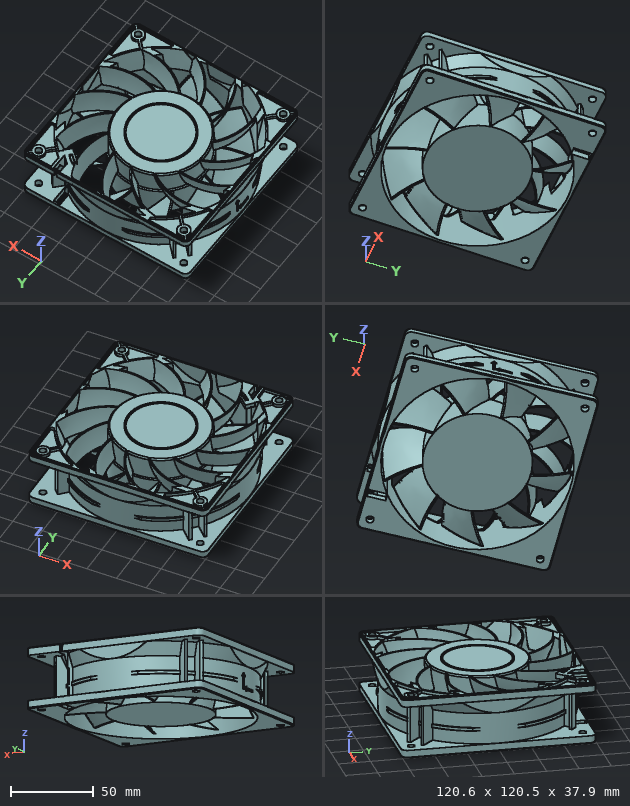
import cadquery as cq
import math

frame_half_x = 60.3
frame_half_y = 60.25
frame_height = 37.9
diagonal_reach = 2 * frame_half_x
corner_radius = 4.0
edge_chamfer = 0.6
flange_thickness = 5.0
upper_flange_z = frame_height - flange_thickness

duct_outer_radius = 60.1
flare_outer_radius = 66.7
bore_radius = 58.25
flare_inner_radius = 63.4
flare_start_z = 24.7
rim_width = 1.5
rim_inner_half = frame_half_x - rim_width

band_radius = 61.1
band_half_width = 58.9
band_z = 13.5
band_height = 2.0

hole_offset = 53.1
hole_radius = 2.2
hole_boss_radius = 4.3
pocket_depth = 2.0
pocket_ring_radius = 64.5
pocket_start = 31.2
cable_pocket_start = 40.1
pocket_corner_radius = 2.0
pocket_rib_width = 1.6

post_root = 59.0
channel_post_reach = 70.4
channel_post_half_width = 5.7
channel_from = -3.6
channel_to = 4.1
hook_reach = 67.2
hook_head_from = 65.4
hook_head_side = 0.2
hook_stem_side = 3.0
hook_outer_side = 4.7

vane_count = 13
vane_pitch = 360 / vane_count
first_vane_angle = 36.2
vane_width = 1.2
vane_top_edge = [(31, -31.2), (48.6, -14.6), (66, 4.0)]
vane_bottom_edge = [(31, -23.5), (45, -11.3), (64, 6.4)]
vane_middle_lean = 0.35
vane_bite = 0.4
shelf_width = 4.9
shelf_overlap = 0.6
vane_lean = 7.9

mount_radius = 32.0
mount_bottom_z = 22.8
mount_chamfer = 1.0
label_radius = 22.2
label_groove_width = 1.0
label_groove_depth = 0.4

platform_from_angle = 47.5
platform_to_angle = 58.0
cable_vane = 1
cable_shelf_width = 10.0
slot_left = 33.5
slot_right = 38.2
slot_inner_y = 47.2
rim_notch_x = 35.9
rim_notch_width = 1.8
clip_thickness = 3.0
clip_angle = -42.0
clip_corner = (33.6, 51.4)
clip_length = 10.2
clip_width = 6.3
clip_slit_length = 5.9
clip_slit_width = 1.9
clip_slit_offset = 2.9
clip_slit_depth = 1.5

arrow_depth = 0.3
arrow_length = 10.0
arrow_shaft = 1.2
arrow_head_length = 2.0
arrow_head_width = 3.2
flow_arrow_start = (5.4, 10.2)
rotation_arrow_start = (-6.0, 10.9)

impeller_bottom_z = 2.0
impeller_top_z = 22.4
impeller_hub_radius = 33.2
blade_count = 9
blade_tip_radius = 57.5
blade_width = 1.2
blade_bottom_z = 3.0
blade_top_z = 22.0
blade_top_edge = [(31.5, 338.5), (46, 332.3), (59, 326.6)]
blade_bottom_edge = [(31.5, 310.8), (46.5, 305.6), (59, 301.3)]


def disc(radius, z_low, z_high):
    return cq.Workplane("XY", origin=(0, 0, z_low)).circle(radius).extrude(z_high - z_low)


def cone(radius_low, radius_high, z_low, z_high):
    return cq.Workplane(
        cq.Solid.makeCone(radius_low, radius_high, z_high - z_low, pnt=cq.Vector(0, 0, z_low))
    )


def block(x, y, z):
    """Box spanning the three (low, high) ranges."""
    box = cq.Workplane("XY").box(x[1] - x[0], y[1] - y[0], z[1] - z[0], centered=False)
    return box.translate((x[0], y[0], z[0]))


def turned(body, angle):
    return body.rotate((0, 0, 0), (0, 0, 1), angle)


def edge_points(edge, sideways, z):
    """Points of an edge given as (radius, angle) pairs, shifted counter-clockwise by `sideways`."""
    points = []
    for radius, angle in edge:
        a = math.radians(angle) + sideways / radius
        points.append(cq.Vector(radius * math.cos(a), radius * math.sin(a), z))
    return points


def blade_outline(edge, back, front, z):
    """Closed outline at height z between two copies of an arc-shaped edge."""
    back_points = edge_points(edge, back, z)
    front_points = edge_points(edge, front, z)
    return cq.Wire.assembleEdges([
        cq.Edge.makeThreePointArc(*back_points),
        cq.Edge.makeLine(back_points[-1], front_points[-1]),
        cq.Edge.makeThreePointArc(*reversed(front_points)),
        cq.Edge.makeLine(front_points[0], back_points[0]),
    ])


def flange(z_low, chamfered_face):
    plate = block(
        (-frame_half_x, frame_half_x),
        (-frame_half_y, frame_half_y),
        (z_low, z_low + flange_thickness),
    )
    plate = plate.edges("|Z").fillet(corner_radius)
    return plate.faces(chamfered_face).edges().chamfer(edge_chamfer)


def square_limit(half_x, half_y):
    return block((-half_x, half_x), (-half_y, half_y), (0, frame_height))


def duct_outside():
    """Solid outside of the duct, its flare and raised band cut flat along the frame sides."""
    flare = cone(duct_outer_radius, flare_outer_radius, flare_start_z, frame_height - edge_chamfer)
    flare = flare.intersect(square_limit(duct_outer_radius, duct_outer_radius))
    duct = disc(duct_outer_radius, 0, flare_start_z).union(flare)
    band = disc(band_radius, band_z, band_z + band_height)
    return duct.union(band.intersect(square_limit(band_half_width, band_half_width)))


def channel_post():
    """Post of two parallel walls standing on the +X diagonal direction."""
    heights = (flange_thickness, upper_flange_z)
    walls = block(
        (post_root, channel_post_reach),
        (-channel_post_half_width, channel_post_half_width),
        heights,
    )
    return walls.cut(block((post_root, channel_post_reach), (channel_from, channel_to), heights))


def hook_post():
    """Post with a thin stem and a wider head that hooks over the cable."""
    heights = (flange_thickness, upper_flange_z)
    stem = block((post_root, hook_reach), (hook_stem_side, hook_outer_side), heights)
    head = block((hook_head_from, hook_reach), (hook_head_side, hook_outer_side), heights)
    return stem.union(head)


def corner_pocket(x_start):
    """Pocket in the +X+Y corner around the screw boss and its diagonal ribs."""
    z = (frame_height - pocket_depth, frame_height)
    pocket = block((x_start, rim_inner_half), (pocket_start, rim_inner_half), z)
    pocket = pocket.edges("|Z and >X and >Y").fillet(pocket_corner_radius)
    pocket = pocket.cut(disc(pocket_ring_radius, *z))
    pocket = pocket.cut(disc(hole_boss_radius, *z).translate((hole_offset, hole_offset, 0)))
    half_rib = pocket_rib_width / 2
    rib = block((0, diagonal_reach), (-half_rib, half_rib), z)
    return pocket.cut(turned(rib, 45))


def leaning_body(back, back_lean, front):
    """Smooth body along the curved lean of a vane; its back moves out by back_lean down its height."""
    outlines = []
    middle_z = (flare_start_z + frame_height) / 2
    for lean, z in ((1, flare_start_z), (vane_middle_lean, middle_z), (0, frame_height)):
        edge = [
            (top[0] + (low[0] - top[0]) * lean, top[1] + (low[1] - top[1]) * lean)
            for top, low in zip(vane_top_edge, vane_bottom_edge)
        ]
        outlines.append(blade_outline(edge, back - back_lean * lean, front, z))
    return cq.Workplane(cq.Solid.makeLoft(outlines, False))


def vane():
    """Thin leaning vane from the motor mount to the duct, upright at its top and curving below."""
    return leaning_body(0, 0, vane_width)


def vane_shelf(width):
    """Thick block behind the outer end of a vane, where the duct wall is not flared."""
    return leaning_body(-width, vane_lean, shelf_overlap)


def cable_platform():
    """Sector of unflared duct wall next to the cable exit."""
    corners = [
        (diagonal_reach * math.cos(math.radians(a)), diagonal_reach * math.sin(math.radians(a)))
        for a in (platform_from_angle, platform_to_angle)
    ]
    sector = cq.Workplane("XY", origin=(0, 0, flare_start_z)).polyline([(0, 0)] + corners).close()
    return sector.extrude(frame_height - flare_start_z)


def flare_space():
    """Flared part of the air passage, without the shelves and the cable platform."""
    space = cone(bore_radius, flare_inner_radius, flare_start_z, frame_height)
    space = space.intersect(square_limit(rim_inner_half, rim_inner_half))
    for i in range(vane_count):
        width = cable_shelf_width if i == cable_vane else shelf_width
        space = space.cut(turned(vane_shelf(width), first_vane_angle + i * vane_pitch))
    return space.cut(cable_platform())


def trimmed_vanes():
    """Vanes in place, each cut to end just inside the duct wall."""
    limit = cone(
        bore_radius + vane_bite, flare_inner_radius + vane_bite, flare_start_z, frame_height
    )
    limit = limit.intersect(square_limit(rim_inner_half + vane_bite, rim_inner_half + vane_bite))
    one_vane = vane()
    return [
        turned(one_vane, first_vane_angle + i * vane_pitch).intersect(limit)
        for i in range(vane_count)
    ]


def motor_mount():
    mount = disc(mount_radius, mount_bottom_z, frame_height).faces(">Z").edges().chamfer(mount_chamfer)
    groove_z = (frame_height - label_groove_depth, frame_height)
    groove = disc(label_radius, *groove_z).cut(disc(label_radius - label_groove_width, *groove_z))
    return mount.cut(groove)


def cable_clip():
    """Flat tab with a slit, set at an angle over the cable slot."""
    z = (frame_height - clip_thickness, frame_height)
    tab = block((0, clip_length), (-clip_width, 0), z)
    slit_top = -clip_slit_offset
    slit_z = (frame_height - clip_slit_depth, frame_height)
    tab = tab.cut(block((0, clip_slit_length), (slit_top - clip_slit_width, slit_top), slit_z))
    return turned(tab, clip_angle).translate((clip_corner[0], clip_corner[1], 0))


def arrow(start, direction):
    """Cutter for an arrow lying on the -X side; start is (y, z), direction an angle from +Y to +Z."""
    half_shaft = arrow_shaft / 2
    half_head = arrow_head_width / 2
    neck = arrow_length - arrow_head_length
    outline = [
        (0, -half_shaft), (neck, -half_shaft), (neck, -half_head), (arrow_length, 0),
        (neck, half_head), (neck, half_shaft), (0, half_shaft),
    ]
    body = cq.Workplane("YZ").polyline(outline).close().extrude(duct_outer_radius)
    body = body.rotate((0, 0, 0), (1, 0, 0), direction)
    body = body.translate((-frame_half_x, start[0], start[1]))
    return body.cut(disc(duct_outer_radius - arrow_depth, 0, frame_height))


def with_corner_posts(body):
    """Channel posts mirror each other on the +X-Y and -X+Y corners; hooks take the other two."""
    body = body.union(turned(channel_post(), -45))
    body = body.union(turned(channel_post().mirror("XZ"), 135))
    for angle in (45, 225):
        body = body.union(turned(hook_post(), angle))
    return body


def with_corner_recesses(body):
    """Screw hole and top pocket at each corner; the cable corner has a shorter pocket."""
    hole = disc(hole_radius, 0, frame_height)
    for side_x in (-1, 1):
        for side_y in (-1, 1):
            at_cable = side_x > 0 and side_y > 0
            pocket = corner_pocket(cable_pocket_start if at_cable else pocket_start)
            if side_x < 0:
                pocket = pocket.mirror("YZ")
            if side_y < 0:
                pocket = pocket.mirror("XZ")
            body = body.cut(pocket)
            body = body.cut(hole.translate((side_x * hole_offset, side_y * hole_offset, 0)))
    return body


def cable_slot():
    """Slot through both flanges, with a narrow notch in the rim beside it."""
    slot = block((slot_left, slot_right), (slot_inner_y, rim_inner_half), (0, frame_height))
    half_notch = rim_notch_width / 2
    notch = block(
        (rim_notch_x - half_notch, rim_notch_x + half_notch),
        (rim_inner_half, frame_half_y),
        (upper_flange_z, frame_height),
    )
    return slot.union(notch)


def build_frame():
    body = flange(0, "<Z").union(flange(upper_flange_z, ">Z")).union(duct_outside())
    body = with_corner_posts(body)
    body = body.cut(disc(bore_radius, 0, frame_height)).cut(flare_space())
    body = with_corner_recesses(body)
    body = body.cut(cable_slot())
    body = body.cut(arrow(flow_arrow_start, 90)).cut(arrow(rotation_arrow_start, 0))
    body = body.union(motor_mount())
    for one_vane in trimmed_vanes():
        body = body.union(one_vane)
    return body.union(cable_clip())


def impeller_blade():
    """Leaning blade running from inside the hub to the tip circle."""
    outlines = [
        blade_outline(blade_bottom_edge, 0, blade_width, blade_bottom_z),
        blade_outline(blade_top_edge, -blade_width, 0, blade_top_z),
    ]
    body = cq.Workplane(cq.Solid.makeLoft(outlines, True))
    return body.intersect(disc(blade_tip_radius, blade_bottom_z, blade_top_z))


def build_impeller():
    body = disc(impeller_hub_radius, impeller_bottom_z, impeller_top_z)
    one_blade = impeller_blade()
    for i in range(blade_count):
        body = body.union(turned(one_blade, i * 360 / blade_count))
    return body


frame = build_frame()
impeller = build_impeller()

result = cq.Compound.makeCompound([*frame.vals(), *impeller.vals()])